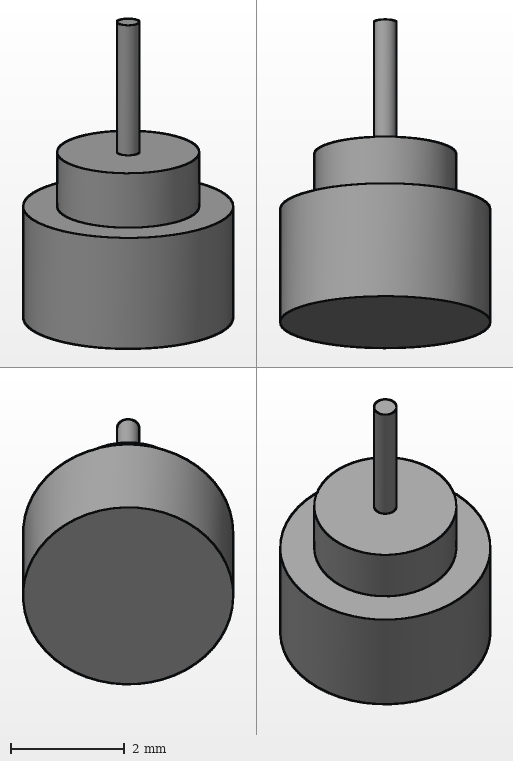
import cadquery as cq

total_height = 5.45
base_height = 2.05
collar_height = 1.005
collar_top = base_height + collar_height

base_diameter = 3.7
collar_diameter = 2.5
insert_diameter = 1.95
pin_diameter = 0.4


def cylinder(diameter, bottom, top):
    """Upright cylinder on the Z axis between two heights."""
    return cq.Workplane("XY").workplane(offset=bottom).circle(diameter / 2).extrude(top - bottom)


base = cylinder(base_diameter, 0, base_height)
collar = cylinder(collar_diameter, base_height, collar_top)
body = base.union(collar)

insert = cylinder(insert_diameter, base_height, collar_top)
shell = body.cut(insert)

pin = cylinder(pin_diameter, collar_top, total_height)

result = shell.union(insert, clean=False).union(pin, clean=False)